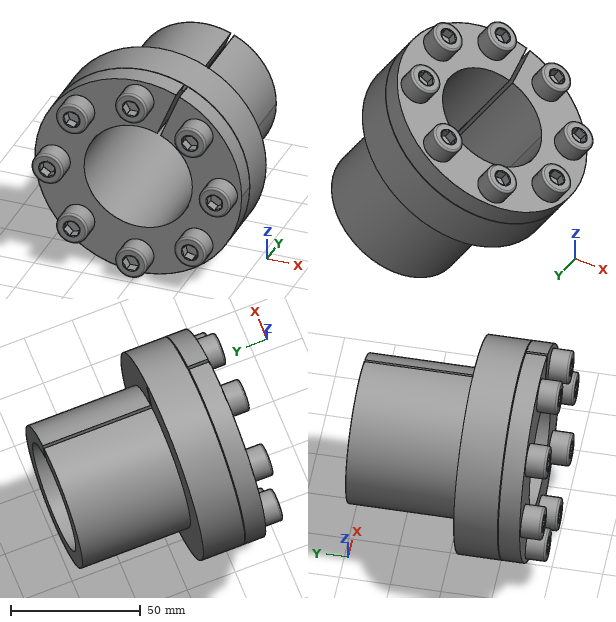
import cadquery as cq
import math


outer_diameter = 86.0
bore_diameter = 45.0
sleeve_diameter = 59.0
flange_thickness = 8.5
gap_width = 0.25
ring_end = 26.0
sleeve_length = 45.0
bush_length = ring_end + sleeve_length
gap_depth = 1.0

slit_width = 1.5
slit_angle = 67.5
slit_closed_radius = 40.0

screw_count = 8
screw_circle_radius = 34.75
shank_diameter = 8.0
shank_length = 20.0
head_diameter = 13.0
head_height = 8.0
head_fillet = 0.8
socket_across_flats = 6.0
socket_depth = 4.0
socket_mouth_diameter = 7.0
socket_mouth_angle = 60.0


def cylinder(diameter, start, length):
    """Cylinder about the Y axis from Y = start to Y = start + length."""
    plane = cq.Workplane("XZ", origin=(0, start, 0))
    return plane.circle(diameter / 2).extrude(-length)


def slit_cutter(outer_radius, start, length):
    """Radial slab from the axis to outer_radius, turned to the slit angle."""
    slab = cq.Workplane("XY").box(outer_radius, length, slit_width, centered=(False, False, True))
    slab = slab.translate((0, start, 0))
    return slab.rotate((0, 0, 0), (0, 1, 0), -slit_angle)


def at_screw_position(body, index):
    """Move a body from the Y axis to the screw circle and swing it to its place around the bush."""
    first_place = body.translate((0, 0, screw_circle_radius))
    return first_place.rotate((0, 0, 0), (0, 1, 0), index * 360.0 / screw_count)


def shank():
    return cylinder(shank_diameter, 0, shank_length)


def make_bush():
    bush = cylinder(outer_diameter, 0, ring_end)
    bush = bush.union(cylinder(sleeve_diameter, 0, bush_length))
    bush = bush.cut(cylinder(bore_diameter, 0, bush_length))

    gap = cylinder(outer_diameter, flange_thickness, gap_width)
    gap = gap.cut(cylinder(outer_diameter - 2 * gap_depth, flange_thickness, gap_width))
    bush = bush.cut(gap)

    bush = bush.cut(slit_cutter(slit_closed_radius, 0, bush_length))
    bush = bush.cut(slit_cutter(outer_diameter, 0, flange_thickness + gap_width))

    for index in range(screw_count):
        bush = bush.cut(at_screw_position(shank(), index))
    return bush


def make_screw():
    head = cylinder(head_diameter, -head_height, head_height)
    head = head.faces("<Y").edges().fillet(head_fillet)

    socket_corner_diameter = socket_across_flats / math.cos(math.pi / 6)
    socket_plane = cq.Workplane("XZ", origin=(0, -head_height, 0))
    socket = socket_plane.polygon(6, socket_corner_diameter).extrude(-socket_depth)
    mouth_radius = socket_mouth_diameter / 2
    mouth_depth = mouth_radius / math.tan(math.radians(socket_mouth_angle))
    mouth = cq.Workplane(
        cq.Solid.makeCone(mouth_radius, 0, mouth_depth, cq.Vector(0, -head_height, 0), cq.Vector(0, 1, 0))
    )
    return head.cut(socket).cut(mouth).union(shank())


bush = make_bush()
screws = [at_screw_position(make_screw(), index) for index in range(screw_count)]

result = cq.Compound.makeCompound([bush.val(), *[screw.val() for screw in screws]])